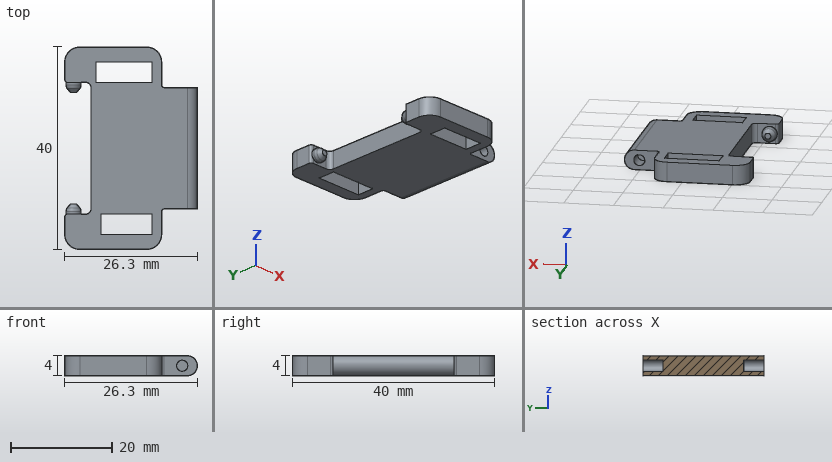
import cadquery as cq
import math

length = 40.0
width = 26.25
thickness = 4.0
half_length = length / 2

arm_width = 7.0
web_x = 5.2
body_x = 19.2
hinge_half_length = 12.0
corner_radius = 3.0
arm_tip_radius = 0.6
recess_radius = 1.0
hinge_corner_radius = 0.5
arm_face_y = half_length - arm_width

slot_end_x = 17.25
slot_width = 4.0
long_slot_length = 11.0
short_slot_length = 10.0
slot_center_y = arm_face_y + slot_width / 2

barrel_radius = thickness / 2
barrel_x = width - barrel_radius
hinge_hole_x = 23.25
hinge_hole_diameter = 2.2
hinge_hole_depth = 4.0

pin_x = 1.75
pin_diameter = 3.0
pin_radius = pin_diameter / 2
pin_shoulder_radius = 1.3
pin_tip_radius = 0.6
pin_cylinder_height = 0.5
pin_shoulder_height = 1.15
pin_height = 2.0
pin_root = 0.8


def vertical_edge(x, y):
    """Select the full-height edge passing through (x, y)."""
    reach = 0.05
    return cq.selectors.BoxSelector((x - reach, y - reach, -reach), (x + reach, y + reach, reach))


def make_plate():
    outline = [
        (0, half_length),
        (body_x, half_length),
        (body_x, hinge_half_length),
        (barrel_x, hinge_half_length),
        (barrel_x, -hinge_half_length),
        (body_x, -hinge_half_length),
        (body_x, -half_length),
        (0, -half_length),
        (0, -arm_face_y),
        (web_x, -arm_face_y),
        (web_x, arm_face_y),
        (0, arm_face_y),
    ]
    rounded_corners = [
        (0, half_length, corner_radius),
        (body_x, half_length, corner_radius),
        (body_x, hinge_half_length, hinge_corner_radius),
        (web_x, arm_face_y, recess_radius),
        (0, arm_face_y, arm_tip_radius),
    ]
    plate = cq.Workplane("XY").polyline(outline).close().extrude(thickness / 2, both=True)
    for x, y, radius in rounded_corners:
        for side in (1, -1):
            plate = plate.edges(vertical_edge(x, side * y)).fillet(radius)
    return plate


def make_barrel():
    return (
        cq.Workplane("XZ")
        .center(barrel_x, 0)
        .circle(barrel_radius)
        .extrude(hinge_half_length, both=True)
    )


def make_hinge_hole():
    """Blind hole in the -Y end of the hinge; its mirror image is in the +Y end."""
    return (
        cq.Workplane("XZ", origin=(hinge_hole_x, -hinge_half_length, 0))
        .circle(hinge_hole_diameter / 2)
        .extrude(-hinge_hole_depth)
    )


def make_slot(slot_length, center_y):
    return (
        cq.Workplane("XY")
        .center(slot_end_x - slot_length / 2, center_y)
        .rect(slot_length, slot_width)
        .extrude(thickness, both=True)
    )


def make_pin():
    """Pin on the -Y arm pointing to +Y: cylinder, tangent rounded shoulder, flat-tipped cone."""
    drop = pin_radius - pin_shoulder_radius
    rise = pin_shoulder_height - pin_cylinder_height
    shoulder_arc_radius = (rise**2 + drop**2) / (2 * drop)
    half_angle = math.asin(rise / shoulder_arc_radius) / 2
    arc_middle = (
        pin_radius - shoulder_arc_radius * (1 - math.cos(half_angle)),
        pin_cylinder_height + shoulder_arc_radius * math.sin(half_angle),
    )
    return (
        cq.Workplane("XY", origin=(pin_x, -arm_face_y, 0))
        .moveTo(0, -pin_root)
        .lineTo(pin_radius, -pin_root)
        .lineTo(pin_radius, pin_cylinder_height)
        .threePointArc(arc_middle, (pin_shoulder_radius, pin_shoulder_height))
        .lineTo(pin_tip_radius, pin_height)
        .lineTo(0, pin_height)
        .close()
        .revolve(360, (0, 0, 0), (0, 1, 0))
    )


hinge_hole = make_hinge_hole()
pin = make_pin()

result = make_plate().union(make_barrel())
result = result.cut(make_slot(long_slot_length, slot_center_y))
result = result.cut(make_slot(short_slot_length, -slot_center_y))
result = result.cut(hinge_hole).cut(hinge_hole.mirror("XZ"))
result = result.union(pin).union(pin.mirror("XZ"))